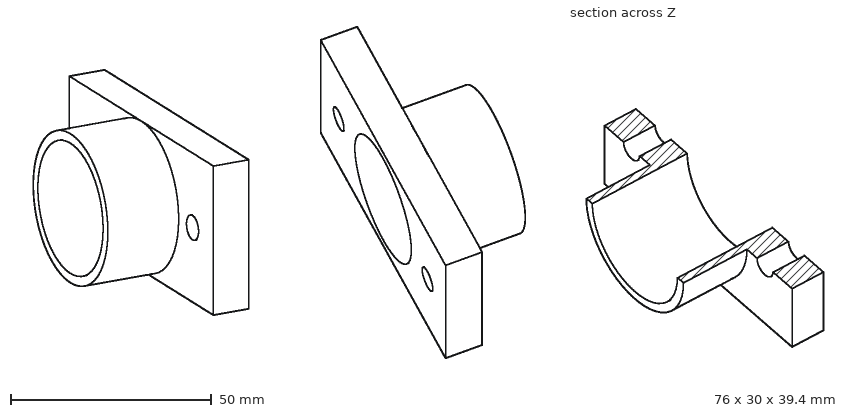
import cadquery as cq

plate_width = 76.0
plate_thickness = 10.0

tube_outer_diameter = 39.4
tube_wall = 2.5
tube_length = 20.0
bore_diameter = tube_outer_diameter - 2 * tube_wall
plate_height = tube_outer_diameter

screw_hole_diameter = 6.4
screw_hole_spacing = 54.0


def cylinder_toward_front(diameter, length, x=0.0, y_start=0.0):
    """Cylinder at height zero, running from y_start toward -Y."""
    return cq.Workplane("XZ", origin=(x, y_start, 0)).circle(diameter / 2).extrude(length)


plate = cq.Workplane("XY").box(plate_width, plate_thickness, plate_height, centered=(True, False, True))
tube = cylinder_toward_front(tube_outer_diameter, tube_length)
body = plate.union(tube)

bore = cylinder_toward_front(bore_diameter, plate_thickness + tube_length, y_start=plate_thickness)
body = body.cut(bore)

for side in (-1, 1):
    hole_x = side * screw_hole_spacing / 2
    body = body.cut(cylinder_toward_front(screw_hole_diameter, plate_thickness, hole_x, plate_thickness))

result = body